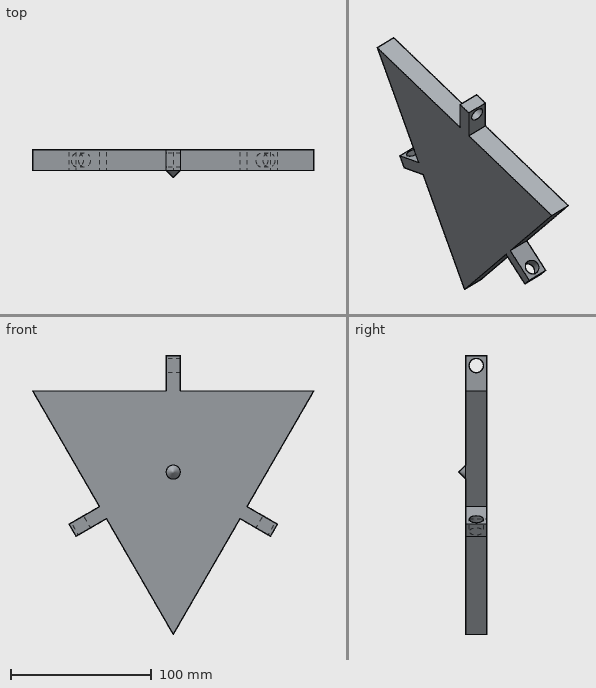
import cadquery as cq
import math

side = 200.0
thickness = 15.0
inradius = side / (2 * math.sqrt(3))
circumradius = 2 * inradius

lug_width = 10.0
lug_length = 25.0
hole_diameter = 10.0
hole_end_distance = 7.0

cone_radius = 5.0
cone_height = 5.0



def make_plate():
    corners = [(-side / 2, inradius), (side / 2, inradius), (0, -circumradius)]
    return cq.Workplane("XZ").polyline(corners).close().extrude(-thickness)


def make_lug(angle):
    """Drilled lug on the top edge, turned about the Y axis; it runs in to the centre to fuse with the plate."""
    tip = inradius + lug_length
    lug = cq.Workplane("XY").box(lug_width, thickness, tip, centered=(True, False, False))
    hole = (
        cq.Workplane("YZ")
        .center(thickness / 2, tip - hole_end_distance)
        .circle(hole_diameter / 2)
        .extrude(lug_width / 2, both=True)
    )
    return lug.cut(hole).rotate((0, 0, 0), (0, 1, 0), angle)


def make_point():
    """Cone turned about the Y axis from its half profile."""
    profile = cq.Workplane("YZ").polyline([(0, 0), (-cone_height, 0), (0, cone_radius)]).close()
    return profile.revolve(360, (0, 0, 0), (1, 0, 0))


result = make_plate()
for lug_angle in (0, 120, 240):
    result = result.union(make_lug(lug_angle))
result = result.union(make_point())